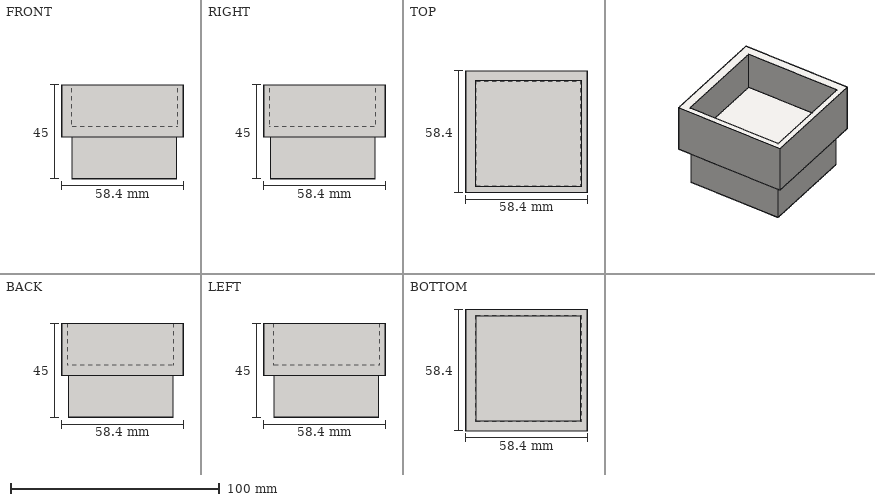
import cadquery as cq

outer_side = 58.4
total_height = 45.0

plug_side = 50.2
plug_height = 20.0

pocket_side = 50.8
pocket_depth = 20.0

axis_shift = 0.9


def square_block(side, height, base_z, shift=0.0):
    """Square block standing on base_z, shifted toward +X and -Y."""
    return (
        cq.Workplane("XY")
        .workplane(offset=base_z)
        .center(shift, -shift)
        .rect(side, side)
        .extrude(height)
    )


tray = square_block(outer_side, total_height - plug_height, plug_height)
plug = square_block(plug_side, plug_height, 0.0, axis_shift)
pocket = square_block(pocket_side, pocket_depth, total_height - pocket_depth, axis_shift)

result = tray.union(plug).cut(pocket)